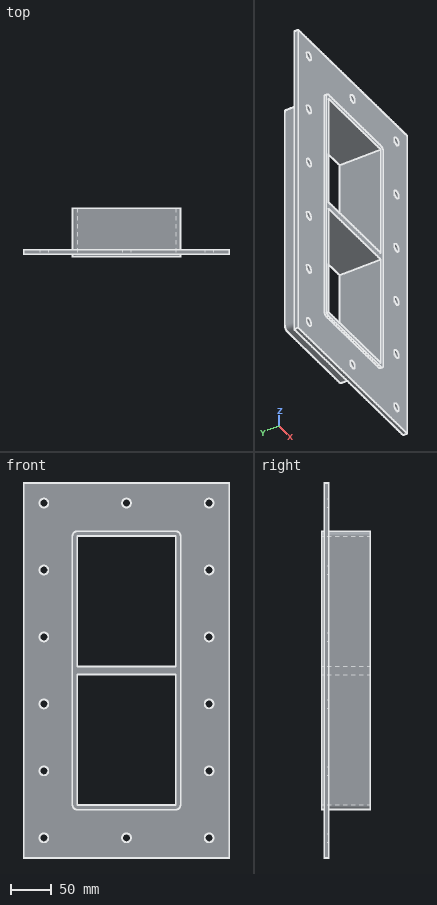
import cadquery as cq

plate_width = 252.5
plate_height = 461.0
plate_thickness = 6.0

wall = 6.0
divider = 10.0
opening_width = 121.0
opening_height = 160.0
frame_depth = 60.0
front_lip = 3.0
corner_radius = 6.0
frame_width = opening_width + 2 * wall
frame_height = 2 * opening_height + divider + 2 * wall

hole_diameter = 10.5
hole_edge_distance = 25.0
holes_per_side = 6
hole_x = plate_width / 2 - hole_edge_distance
hole_z = plate_height / 2 - hole_edge_distance
hole_pitch = 2 * hole_z / (holes_per_side - 1)


def bolt_hole_centers():
    """Return the two side columns and the middle hole at each end."""
    centers = [(0, -hole_z), (0, hole_z)]
    for row in range(holes_per_side):
        z = -hole_z + row * hole_pitch
        centers += [(-hole_x, z), (hole_x, z)]
    return centers


def block(width, depth, height, front_y):
    """Make a block centred in X and Z, running toward +Y from front_y."""
    return (
        cq.Workplane("XY")
        .box(width, depth, height, centered=(True, False, True))
        .translate((0, front_y, 0))
    )


plate = block(plate_width, plate_thickness, plate_height, front_lip)
bolt_holes = (
    cq.Workplane("XZ")
    .pushPoints(bolt_hole_centers())
    .circle(hole_diameter / 2)
    .extrude(-frame_depth)
)
frame = block(frame_width, frame_depth, frame_height, 0).edges("|Y").fillet(corner_radius)

result = plate.cut(bolt_holes).union(frame)

opening_z = (divider + opening_height) / 2
for side in (-1, 1):
    opening = block(opening_width, frame_depth, opening_height, 0)
    result = result.cut(opening.translate((0, 0, side * opening_z)))